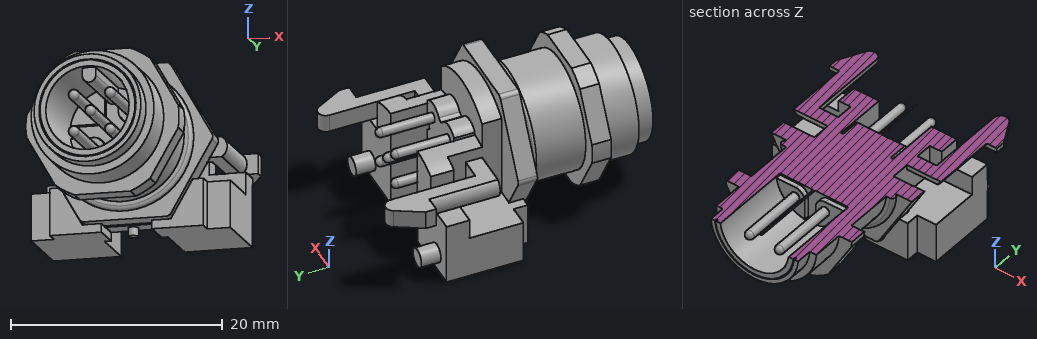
import cadquery as cq
import math


shoulder_y = 1.82
nut_front = 5.35
nut_width = 2.0
flange_front = 13.5
flange_back = 15.5
plate_back = 17.5
boss_back = 19.68
step_y = 21.07
board_y = 23.47
peg_end = 25.5
tail_tip = 25.6
overall_length = 28.9

thread_radius = 6.0
nose_radius = 5.23
groove_outer = 4.75
groove_inner = 4.65
groove_depth = 0.3
bore_radius = 4.07
bore_depth = 8.67
cross_half_x = 0.66
cross_half_z = 0.65
cross_depth = 0.58
key_front = 0.58
key_bottom = 2.63

pin_radius = 0.505
pin_offset = 1.777
outer_pin_tip = 1.13
centre_pin_tip = 0.55
boss_radius = 1.69
boss_fillet = 0.505

nut_flats = 14.0
nut_corner_radius = 7.5
flange_flats = 15.03
flange_fillet = 0.58
seal_radius = 0.42
seal_outer = 6.82

bottom_z = -8.5
ledge_z = -3.9
outer_step_z = -1.73
half_width = 9.77
front_half_width = 7.5
front_block_y = 14.02
pocket_clearance = 0.05
notch_half_width = 2.45
notch_z = -7.65
tower_inner_x = 3.1
tower_side_x = 4.75
tower_back_x = 6.15
tower_inner_z = 2.5
tower_side_z = 2.25
tower_back_z = 1.7
plate_radius = 6.95
peg_radius = 0.997
peg_x = 7.5
peg_z = -6.5

arm_inner_x = 6.96
arm_outer_x = 8.38
arm_bulge_x = 8.9
arm_half_height = 0.997
foot_back = 19.22
barb_x = 10.0
barb_y = 24.62
tip_radius = 0.85
nose_angle = math.radians(28)


def profile_at(y):
    """Workplane at station y whose local axes are X and Z; negative extrusion runs toward +Y."""
    return cq.Workplane(cq.Plane(origin=(0, y, 0), xDir=(1, 0, 0), normal=(0, -1, 0)))


def disc(radius, y_start, y_end, x=0, z=0):
    return profile_at(y_start).center(x, z).circle(radius).extrude(y_start - y_end)


def hexagon(flats, y_start, y_end):
    across_corners = flats / math.cos(math.pi / 6)
    return profile_at(y_start).polygon(6, across_corners).extrude(y_start - y_end)


def block(x_range, y_range, z_range):
    size = [high - low for low, high in (x_range, y_range, z_range)]
    corner = (x_range[0], y_range[0], z_range[0])
    return cq.Workplane().box(*size, centered=False).translate(corner)


def both_sides(shape):
    return shape.union(shape.mirror("YZ"))


def pin_front(tip_y, x, z):
    """Round-tipped contact rising from inside the insert toward the mating face."""
    dome_y = tip_y + pin_radius
    ball = cq.Workplane().sphere(pin_radius).translate((x, dome_y, z))
    return disc(pin_radius, dome_y, bore_depth + 2 * cross_depth, x, z).union(ball)


def pin_tail(x, z):
    """Round-tipped solder tail on the board side."""
    dome_y = tail_tip - pin_radius
    ball = cq.Workplane().sphere(pin_radius).translate((x, dome_y, z))
    return disc(pin_radius, flange_back, dome_y, x, z).union(ball)


def make_socket():
    """Threaded barrel with a stepped nose, a bore and a cross of grooves in the bore floor."""
    barrel = disc(thread_radius, shoulder_y, flange_back).union(disc(nose_radius, 0, shoulder_y))
    ring = disc(groove_outer, 0, groove_depth).cut(disc(groove_inner, 0, groove_depth))
    barrel = barrel.cut(ring).cut(disc(bore_radius, 0, bore_depth))

    floor_y = (bore_depth, bore_depth + cross_depth)
    reach = (-bore_radius, bore_radius)
    upright = block((-cross_half_x, cross_half_x), floor_y, reach)
    level = block(reach, floor_y, (-cross_half_z, cross_half_z))
    inner_corners = cq.selectors.BoxSelector(
        (-2 * cross_half_x, floor_y[0], -2 * cross_half_z),
        (2 * cross_half_x, floor_y[1], 2 * cross_half_z),
    )
    cross = upright.union(level).edges(inner_corners).edges("|Y").fillet(pin_offset - cross_half_x)
    barrel = barrel.cut(cross.intersect(disc(bore_radius, *floor_y)))

    key_centre = key_bottom + cross_half_x
    key_end = floor_y[1]
    key = disc(cross_half_x, key_front, key_end, 0, key_centre).union(
        block((-cross_half_x, cross_half_x), (key_front, key_end), (key_centre, bore_radius + 0.3))
    )
    return barrel.union(key.intersect(disc(nose_radius, 0, key_end)))


def make_nut():
    nut_back = nut_front + nut_width
    nut = hexagon(nut_flats, nut_front, nut_back).intersect(disc(nut_corner_radius, nut_front, nut_back))
    return nut.cut(disc(bore_radius, nut_front, nut_back))


def make_flange():
    return hexagon(flange_flats, flange_front, flange_back).edges("|Y").fillet(flange_fillet)


def make_seal():
    """Collar with a fully rounded rim in front of the flange."""
    ring_radius = seal_outer - seal_radius
    ring_centre = cq.Vector(0, flange_front - seal_radius, 0)
    rim = cq.Solid.makeTorus(ring_radius, seal_radius, ring_centre, cq.Vector(0, 1, 0))
    return disc(ring_radius, flange_front - 2 * seal_radius, flange_front).union(cq.Workplane(rim))


def make_boss():
    """Four lobes around the outer contacts, joined by concave fillets and kept between the towers."""
    reach = boss_radius + boss_fillet
    fillet_z = pin_offset + math.sqrt(reach**2 - pin_offset**2)
    tangent_x = pin_offset * boss_fillet / reach
    tangent_z = fillet_z - (fillet_z - pin_offset) * boss_fillet / reach
    lobe_peak = pin_offset + boss_radius / math.sqrt(2)

    outline = profile_at(flange_back).moveTo(-tangent_x, tangent_z)
    for quarter in range(4):
        angle = -quarter * math.pi / 2
        points = []
        for x, z in (
            (0, fillet_z - boss_fillet),
            (tangent_x, tangent_z),
            (lobe_peak, lobe_peak),
            (tangent_z, tangent_x),
        ):
            turned_x = x * math.cos(angle) - z * math.sin(angle)
            turned_z = x * math.sin(angle) + z * math.cos(angle)
            points.append((turned_x, turned_z))
        outline = outline.threePointArc(points[0], points[1]).threePointArc(points[2], points[3])
    lobes = outline.close().extrude(flange_back - boss_back)
    across = (-tower_inner_x, tower_inner_x)
    upright = (-plate_radius, plate_radius)
    return lobes.intersect(block(across, (flange_back, boss_back), upright))


def make_tower():
    """Upright beside the contacts with a rounded top, wider next to the board."""
    tower = (
        profile_at(flange_back)
        .moveTo(tower_inner_x, bottom_z)
        .lineTo(tower_inner_x, tower_inner_z)
        .threePointArc((tower_side_x, tower_side_z), (tower_back_x, tower_back_z))
        .lineTo(tower_back_x, bottom_z)
        .close()
        .extrude(flange_back - board_y)
    )
    relief = block((tower_side_x, half_width), (flange_back, step_y), (ledge_z, plate_radius))
    return tower.cut(relief)


def make_housing():
    base = block((tower_inner_x, half_width), (flange_back, board_y), (bottom_z, ledge_z))
    outer_step = block((tower_back_x, half_width), (step_y, board_y), (ledge_z, outer_step_z))
    peg = disc(peg_radius, flange_back, peg_end, peg_x, peg_z)
    housing = both_sides(base.union(outer_step).union(make_tower()).union(peg))

    shoulder_z = math.sqrt(plate_radius**2 - tower_side_x**2)
    plate = (
        profile_at(flange_back)
        .moveTo(-tower_side_x, bottom_z)
        .lineTo(-tower_side_x, shoulder_z)
        .threePointArc((0, plate_radius), (tower_side_x, shoulder_z))
        .lineTo(tower_side_x, bottom_z)
        .close()
        .extrude(flange_back - plate_back)
    )
    front = block((-front_half_width, front_half_width), (front_block_y, flange_back), (bottom_z, ledge_z))
    pocket_top_x = (flange_flats / 2 + pocket_clearance) / math.cos(math.pi / 6)
    pocket_floor_x = pocket_top_x + notch_z * math.tan(math.pi / 6)
    pocket = (
        profile_at(front_block_y)
        .moveTo(-pocket_top_x, 0)
        .lineTo(-pocket_floor_x, notch_z)
        .lineTo(pocket_floor_x, notch_z)
        .lineTo(pocket_top_x, 0)
        .close()
        .extrude(front_block_y - flange_back)
    )
    front = front.cut(pocket)
    notch = block((-notch_half_width, notch_half_width), (front_block_y, board_y), (bottom_z, notch_z))
    housing = housing.union(plate).union(front).cut(notch)

    pin_y = (flange_back + plate_back) / 2
    ground_pin = cq.Workplane().circle(pin_radius).extrude(notch_z - bottom_z + 0.3)
    return housing.union(ground_pin.translate((0, pin_y, bottom_z)))


def make_arm():
    """L-shaped latch arm with a barbed, rounded tip and a bulged outer face."""
    tip_x = arm_inner_x + tip_radius
    tip_y = overall_length - tip_radius
    tangent_x = tip_x + tip_radius * math.cos(nose_angle)
    tangent_y = tip_y + tip_radius * math.sin(nose_angle)
    barb_corner_y = tangent_y - (barb_x - tangent_x) / math.tan(nose_angle)
    arm = (
        cq.Workplane("XY")
        .workplane(offset=-arm_half_height)
        .moveTo(tower_inner_x, plate_back)
        .lineTo(arm_outer_x, plate_back)
        .lineTo(arm_outer_x, barb_y)
        .lineTo(barb_x, barb_y)
        .lineTo(barb_x, barb_corner_y)
        .lineTo(tangent_x, tangent_y)
        .threePointArc((tip_x, overall_length), (arm_inner_x, tip_y))
        .lineTo(arm_inner_x, foot_back)
        .lineTo(tower_inner_x, foot_back)
        .close()
        .extrude(2 * arm_half_height)
    )
    bulge = (
        profile_at(plate_back)
        .moveTo(arm_outer_x, -arm_half_height)
        .threePointArc((arm_bulge_x, 0), (arm_outer_x, arm_half_height))
        .close()
        .extrude(plate_back - barb_y)
    )
    return arm.union(bulge)


result = make_socket().union(make_flange()).union(make_nut()).union(make_seal())
result = result.union(make_housing()).union(make_boss()).union(both_sides(make_arm()))
for side_x in (-pin_offset, pin_offset):
    for side_z in (-pin_offset, pin_offset):
        result = result.union(pin_front(outer_pin_tip, side_x, side_z)).union(pin_tail(side_x, side_z))
result = result.union(pin_front(centre_pin_tip, 0, 0)).union(pin_tail(0, 0))